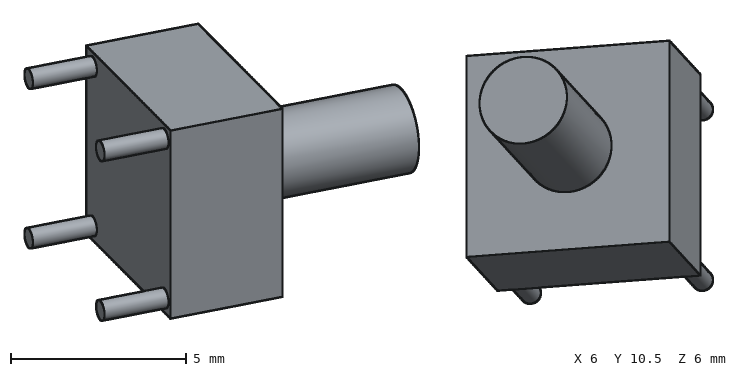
import cadquery as cq

total_length = 10.5
pin_length = 2.0
body_depth = 3.5
stem_length = total_length - pin_length - body_depth

body_side = 6.0
stem_diameter = 2.58
pin_diameter = 0.61
pin_spacing = 5.08


def make_body():
    """Square block with its pin face on the plane Y = 0."""
    return cq.Workplane("XY").box(body_side, body_depth, body_side, centered=(True, False, True))


def make_stem():
    """Round stem rising from the +Y face of the body."""
    stem_base = cq.Workplane("XZ", origin=(0, body_depth, 0))
    return stem_base.circle(stem_diameter / 2).extrude(-stem_length)


def make_pins():
    """Four round pins, one near each corner, reaching toward -Y."""
    pin_centers = cq.Workplane("XZ").rect(pin_spacing, pin_spacing, forConstruction=True).vertices()
    return pin_centers.circle(pin_diameter / 2).extrude(pin_length)


result = make_body().union(make_stem()).union(make_pins())